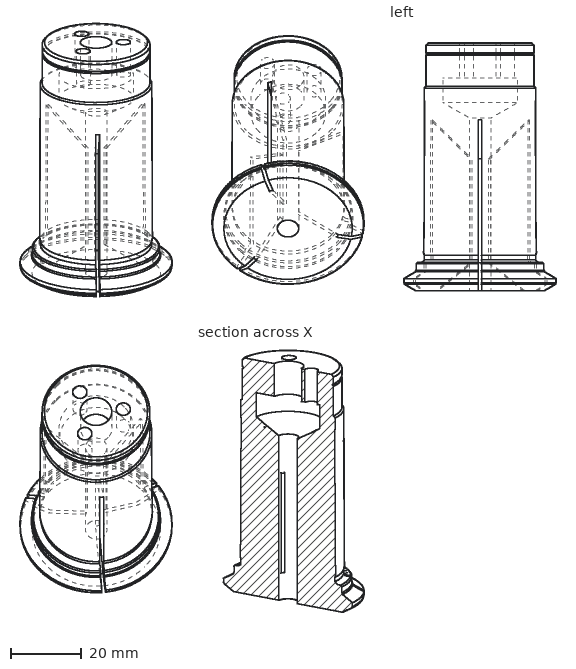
import cadquery as cq
import math

total_height = 70.0
rim_low = 2.3
rim_high = 3.4
collar_low = 5.9
collar_top = 8.05
neck_low = 8.75
neck_high = 10.1
body_low = 10.8
body_top = 57.25
ring_groove_middle = 66.9

rim_diameter = 43.0
collar_diameter = 36.1
neck_diameter = 31.5
body_low_diameter = 31.9
body_top_diameter = 31.6
head_diameter = 30.5
rim_cone_angle = 30.0

foot_drop = 0.5
foot_width = 0.2
rim_break = 0.2
collar_chamfer = 0.4
collar_foot_width = 0.2
neck_step_width = 0.1
neck_step_height = 0.2
neck_fillet_width = 1.1
head_chamfer = 0.7
ring_groove_depth = 0.35
ring_groove_half_height = 0.35

bore_diameter = 6.0
entry_diameter = 8.9
floor_ring_diameter = 8.25
floor_break_diameter = 15.5
chamber_diameter = 21.0
chamber_top = 60.2
floor_edge = 53.2
outer_floor_slope = 31.0
inner_floor_slope = 29.0
throat_slope = 31.0

small_hole_count = 3
small_hole_diameter = 4.0
small_hole_circle = 15.5
small_hole_start = 30.0

slot_count = 3
slot_start = 60.0
slot_width = 1.05
slot_top = 48.2
slot_inner_top = 37.4
slot_inner_low = 7.9
slot_foot_slope = 35.0
overshoot = 1.4


def rise(run, angle):
    """Height gained over a horizontal run at an angle from the horizontal."""
    return run * math.tan(math.radians(angle))


def make_outside():
    """Revolve the outer profile of the flange, sleeve body and head."""
    rim = rim_diameter / 2
    collar = collar_diameter / 2
    neck = neck_diameter / 2
    body_low_radius = body_low_diameter / 2
    head = head_diameter / 2
    foot = rim - foot_width
    foot_height = rim_low - foot_drop
    end_radius = foot - foot_height / math.tan(math.radians(rim_cone_angle))
    cone_top = collar + collar_foot_width
    cone_end = rim - rim_break
    cone_end_height = rim_high + rim_break
    cone_top_height = cone_end_height + rise(cone_end - cone_top, rim_cone_angle)
    neck_fillet_height = neck_low - collar_top
    neck_fillet_radius = (neck_fillet_width**2 + neck_fillet_height**2) / (2 * neck_fillet_height)
    body_step = body_top_diameter / 2 - head

    profile = (
        cq.Workplane("XZ")
        .moveTo(0, 0)
        .lineTo(end_radius, 0)
        .lineTo(foot, foot_height)
        .lineTo(rim, rim_low)
        .lineTo(rim, rim_high)
        .lineTo(cone_end, cone_end_height)
        .lineTo(cone_top, cone_top_height)
        .lineTo(collar, collar_low)
        .lineTo(collar, collar_top - collar_chamfer)
        .lineTo(collar - collar_chamfer, collar_top)
        .lineTo(neck + neck_fillet_width, collar_top)
        .radiusArc((neck, neck_low), neck_fillet_radius)
        .lineTo(neck, neck_high)
        .lineTo(neck + neck_step_width, neck_high + neck_step_height)
        .lineTo(body_low_radius, body_low)
        .lineTo(body_top_diameter / 2, body_top)
        .lineTo(head, body_top + body_step)
        .lineTo(head, ring_groove_middle - ring_groove_half_height)
        .lineTo(head - ring_groove_depth, ring_groove_middle)
        .lineTo(head, ring_groove_middle + ring_groove_half_height)
        .lineTo(head, total_height - head_chamfer)
        .lineTo(head - head_chamfer, total_height)
        .lineTo(0, total_height)
        .close()
    )
    return profile.revolve(360, (0, 0, 0), (0, 1, 0))


def make_bore():
    """Revolve the entry hole, the chamber with its conical floor, and the bore."""
    bore = bore_diameter / 2
    entry = entry_diameter / 2
    ring = floor_ring_diameter / 2
    floor_break = floor_break_diameter / 2
    chamber = chamber_diameter / 2
    break_height = floor_edge - rise(chamber - floor_break, outer_floor_slope)
    ring_height = break_height - rise(floor_break - ring, inner_floor_slope)
    throat_height = ring_height - rise(ring - bore, throat_slope)

    profile = (
        cq.Workplane("XZ")
        .moveTo(0, -overshoot)
        .lineTo(bore, -overshoot)
        .lineTo(bore, throat_height)
        .lineTo(ring, ring_height)
        .lineTo(floor_break, break_height)
        .lineTo(chamber, floor_edge)
        .lineTo(chamber, chamber_top)
        .lineTo(entry, chamber_top)
        .lineTo(entry, total_height + overshoot)
        .lineTo(0, total_height + overshoot)
        .close()
    )
    return profile.revolve(360, (0, 0, 0), (0, 1, 0))


def make_small_holes():
    """Holes that open the head into the chamber."""
    depth = total_height - chamber_top + 2 * overshoot
    return (
        cq.Workplane("XY", origin=(0, 0, chamber_top - overshoot))
        .polarArray(small_hole_circle / 2, small_hole_start, 360, small_hole_count)
        .circle(small_hole_diameter / 2)
        .extrude(depth)
    )


def make_slot(angle):
    """One radial slot, narrowing in height from the outer surface to the bore."""
    bore = bore_diameter / 2
    outer = rim_diameter / 2 + overshoot
    body_radius = body_top_diameter / 2
    top_slope = (slot_top - slot_inner_top) / (body_radius - bore)
    outer_top = slot_inner_top + top_slope * (outer - bore)
    foot_low = slot_inner_low - rise(outer - bore, slot_foot_slope)

    profile = (
        cq.Workplane("XZ")
        .moveTo(0, slot_inner_low)
        .lineTo(bore, slot_inner_low)
        .lineTo(outer, foot_low)
        .lineTo(outer, outer_top)
        .lineTo(bore, slot_inner_top)
        .lineTo(0, slot_inner_top)
        .close()
    )
    slot = profile.extrude(slot_width / 2, both=True)
    return slot.rotate((0, 0, 0), (0, 0, 1), angle)


result = make_outside().cut(make_bore()).cut(make_small_holes())
for index in range(slot_count):
    result = result.cut(make_slot(slot_start + index * 360 / slot_count))